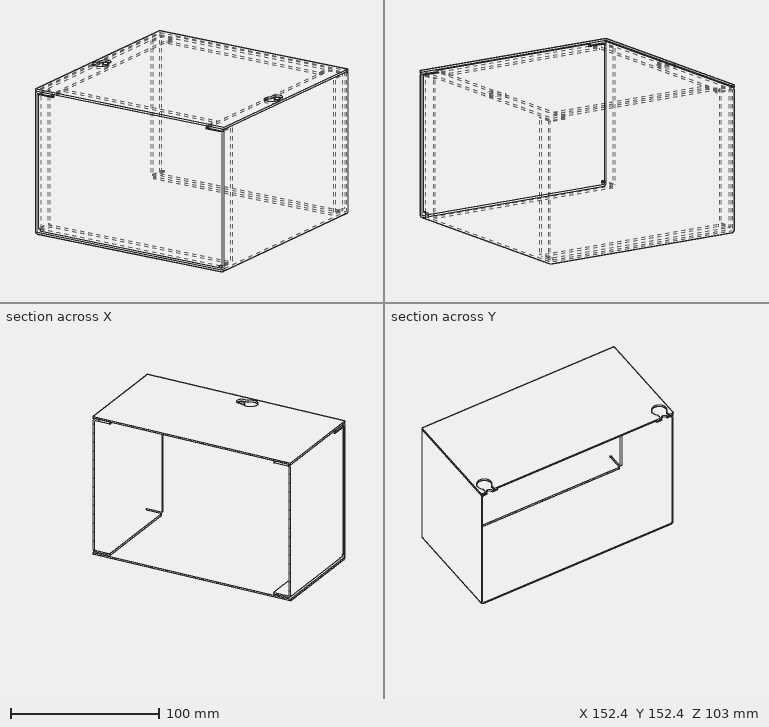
import cadquery as cq
import math

width = 152.4
depth = 152.4
height = 103.0

sheet = 1.45
bend_radius = 2.1
inner_bend_radius = bend_radius - sheet

wrap_height = height - sheet
lip_end_x = 63.1
lip_width = width / 2 - lip_end_x

floor_gap = 0.6
side_gap = 0.3
panel_width = width - 2 * (sheet + side_gap)
panel_bottom = sheet + floor_gap
panel_top = wrap_height
panel_flange = lip_width
top_flange_width = 123.5
face_half_width = panel_width / 2 - bend_radius
face_bottom = panel_bottom + bend_radius
face_top = panel_top - bend_radius

keyhole_x = 69.3
keyhole_y = -0.2
slot_diameter = 6.7
head_diameter = 10.4
head_offset = 6.9
screw_hole_diameter = 4.4


def make_wrap():
    """Folded floor, walls and lips, open at both ends."""
    outer = (
        cq.Workplane("XY")
        .box(width, depth, wrap_height, centered=(True, True, False))
        .edges("|Y")
        .fillet(bend_radius)
    )
    inner = (
        cq.Workplane("XY")
        .workplane(offset=sheet)
        .box(width - 2 * sheet, depth, wrap_height - 2 * sheet, centered=(True, True, False))
        .edges("|Y")
        .fillet(inner_bend_radius)
    )
    lip_opening = (
        cq.Workplane("XY")
        .workplane(offset=wrap_height / 2)
        .box(2 * lip_end_x, depth, wrap_height, centered=(True, True, False))
    )
    screw_holes = (
        cq.Workplane("XY")
        .workplane(offset=wrap_height - sheet)
        .pushPoints([(-keyhole_x, keyhole_y), (keyhole_x, keyhole_y)])
        .circle(screw_hole_diameter / 2)
        .extrude(sheet)
    )
    return outer.cut(inner).cut(lip_opening).cut(screw_holes)


def make_top_plate():
    """Flat plate with a keyhole near each side."""
    plate = (
        cq.Workplane("XY")
        .workplane(offset=wrap_height)
        .box(width, depth, sheet, centered=(True, True, False))
    )
    for x in (-keyhole_x, keyhole_x):
        base = cq.Workplane("XY").workplane(offset=wrap_height)
        slot_end = base.center(x, keyhole_y).circle(slot_diameter / 2).extrude(sheet)
        neck = base.center(x, keyhole_y - head_offset / 2).rect(slot_diameter, head_offset).extrude(sheet)
        head = base.center(x, keyhole_y - head_offset).circle(head_diameter / 2).extrude(sheet)
        plate = plate.cut(slot_end).cut(neck).cut(head)
    return plate


def flange_profile(plane, edge, direction, start_y):
    """Bend and flange section; the flange's outer side lies at edge, on the direction (+1 or -1) side."""
    bend_start = edge - direction * bend_radius
    inner_edge = edge - direction * sheet
    diagonal = math.sqrt(0.5)
    bend_y = start_y + bend_radius
    outer_mid = (bend_start + direction * bend_radius * diagonal, bend_y - bend_radius * diagonal)
    inner_mid = (
        bend_start + direction * inner_bend_radius * diagonal,
        bend_y - inner_bend_radius * diagonal,
    )
    return (
        cq.Workplane(plane)
        .moveTo(bend_start, start_y)
        .threePointArc(outer_mid, (edge, bend_y))
        .lineTo(edge, start_y + panel_flange)
        .lineTo(inner_edge, start_y + panel_flange)
        .lineTo(inner_edge, bend_y)
        .threePointArc(inner_mid, (bend_start, start_y + sheet))
        .close()
    )


def make_front_panel():
    """Flat face with bent flanges; the corners between the flanges are open."""
    front_y = -depth / 2
    face_height = face_top - face_bottom
    panel = (
        cq.Workplane("XY")
        .box(2 * face_half_width, sheet, face_height, centered=(True, False, False))
        .translate((0, front_y, face_bottom))
    )

    for side in (-1, 1):
        flange = flange_profile("XY", side * panel_width / 2, side, front_y).extrude(face_height)
        panel = panel.union(flange.translate((0, 0, face_bottom)))

    section_plane = cq.Plane(origin=(0, 0, 0), xDir=(0, 0, 1), normal=(-1, 0, 0))
    for edge, side, length in (
        (panel_bottom, -1, 2 * face_half_width),
        (panel_top, 1, top_flange_width),
    ):
        flange = flange_profile(section_plane, edge, side, front_y).extrude(length / 2, both=True)
        panel = panel.union(flange)
    return panel


wrap = make_wrap()
top_plate = make_top_plate()
front_panel = make_front_panel()
rear_panel = front_panel.mirror("XZ")

result = cq.Compound.makeCompound(
    [wrap.val(), top_plate.val(), front_panel.val(), rear_panel.val()]
)